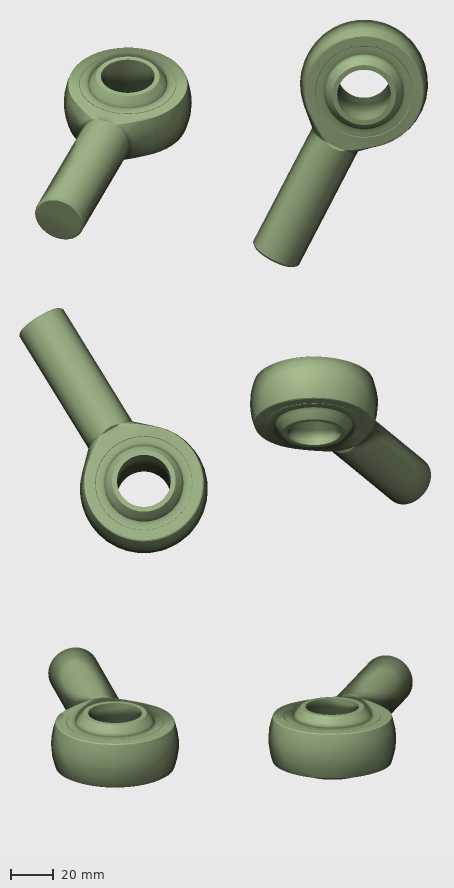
import cadquery as cq
import math


TOTAL_LENGTH = 123.8
EYE_WIDTH = 59.5
EYE_THICKNESS = 21.9
EYE_EDGE_CHAMFER = 0.4
SHANK_DIAMETER = 24.0
SHANK_END_CHAMFER = 1.0
RACE_DIAMETER = 44.8
RACE_SEAT_CHAMFER = 0.2
BALL_DIAMETER = 42.8
BALL_HEIGHT = 31.0
BALL_BORE = 25.0
TOLERANCE = 0.01

eye_radius = EYE_WIDTH / 2
shank_radius = SHANK_DIAMETER / 2
half_thickness = EYE_THICKNESS / 2

tangent_offset = eye_radius * math.sin(math.radians(45))
neck_end = 2 * tangent_offset - shank_radius
shank_end = TOTAL_LENGTH - eye_radius


def eye_blank():
    """Sphere running tangentially into the neck cone, revolved about Y and cut by the flats."""
    turned = (
        cq.Workplane("XY")
        .moveTo(0, eye_radius)
        .threePointArc((eye_radius, 0), (tangent_offset, -tangent_offset))
        .lineTo(shank_radius, -neck_end)
        .lineTo(0, -neck_end)
        .close()
        .revolve(360, (0, 0, 0), (0, 1, 0))
    )
    return turned.intersect(cq.Workplane("XY").box(TOTAL_LENGTH, TOTAL_LENGTH, EYE_THICKNESS))


def make_shank():
    """Round shank with an end chamfer and a 45 degree ramp up from each flat of the eye."""
    cylinder = (
        cq.Workplane("XZ", origin=(0, -neck_end, 0))
        .circle(shank_radius)
        .extrude(shank_end - neck_end)
        .faces("<Y")
        .chamfer(SHANK_END_CHAMFER)
    )
    ramp_rise = shank_radius - half_thickness
    ramp = (
        cq.Workplane("YZ")
        .moveTo(-neck_end, half_thickness)
        .lineTo(-neck_end, shank_radius)
        .lineTo(-neck_end - ramp_rise, shank_radius)
        .close()
        .extrude(shank_radius, both=True)
    )
    return cylinder.cut(ramp).cut(ramp.mirror("XY"))


def on_eye_outline(edge):
    """True for the edges where a flat meets the eye sphere or the neck cone."""
    box = edge.BoundingBox()
    lies_in_flat = box.zlen < TOLERANCE and abs(abs(edge.Center().z) - half_thickness) < TOLERANCE
    runs_along_y = box.ylen > TOLERANCE
    return lies_in_flat and runs_along_y


def race_seat():
    """Through hole for the race, with its mouth chamfers, as a solid to cut away."""
    hole = cq.Workplane("XY").cylinder(EYE_THICKNESS, RACE_DIAMETER / 2)
    for mouth_height in (half_thickness, -half_thickness):
        mouth = cq.Solid.makeCone(
            RACE_DIAMETER / 2 + RACE_SEAT_CHAMFER,
            RACE_DIAMETER / 2,
            RACE_SEAT_CHAMFER,
            cq.Vector(0, 0, mouth_height),
            cq.Vector(0, 0, -mouth_height),
        )
        hole = hole.union(cq.Workplane(mouth))
    return hole


def make_housing():
    blank = eye_blank()
    outline = [edge for edge in blank.edges().vals() if on_eye_outline(edge)]
    body = blank.newObject(outline).chamfer(EYE_EDGE_CHAMFER).union(make_shank())
    return body.cut(race_seat())


def make_race():
    ring = cq.Workplane("XY").cylinder(EYE_THICKNESS, RACE_DIAMETER / 2)
    return ring.cut(cq.Workplane("XY").sphere(BALL_DIAMETER / 2))


def make_ball():
    cylinder = cq.Workplane("XY").cylinder(BALL_HEIGHT, BALL_DIAMETER / 2)
    bore = cq.Workplane("XY").cylinder(BALL_HEIGHT, BALL_BORE / 2)
    return cq.Workplane("XY").sphere(BALL_DIAMETER / 2).intersect(cylinder).cut(bore)


housing = make_housing()
race = make_race()
ball = make_ball()

result = cq.Compound.makeCompound([*housing.solids().vals(), *race.solids().vals(), *ball.solids().vals()])